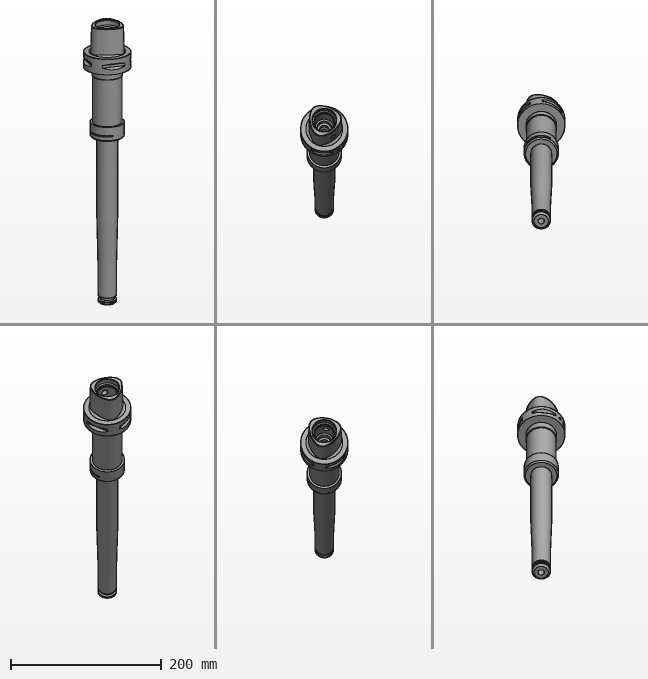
import cadquery as cq
import math

total_height = 393.5
shank_height = 38.0
flange_height = 22.0
flange_top = total_height - shank_height
flange_bottom = flange_top - flange_height
flange_middle = flange_top - flange_height / 2
flange_chamfer = 0.5
shoulder_bottom = 321.5
shoulder_bevel_height = 0.8
nut_top = 255.8
nut_height = 20.5
nut_bottom = nut_top - nut_height
nut_chamfer = 2.0
taper_top = 121.0
taper_bottom = 50.8
neck_top = 10.2
pilot_chamfer = 0.8
neck_bottom = 6.5
tip_thread_top = 5.5
tip_thread_bottom = 2.8
tip_thread_middle = (tip_thread_top + tip_thread_bottom) / 2

nut_slot_bottom = 242.5
nut_slot_height = 1.5
nut_slot_depth = 0.5
nut_slot_angle = 92

flange_diameter = 63.0
shoulder_diameter = 41.0
sleeve_diameter = 39.5
nut_diameter = 45.5
stem_diameter = 28.0
pilot_diameter = 24.8
neck_diameter = 19.5
thread_root_diameter = 23.5
tip_diameter = 19.0

flank_radius = 35.0
flank_offset = 14.5
lobe_offset = 11.0
lobe_radius = flank_radius - math.sqrt(
    flank_offset**2 + flank_offset * lobe_offset + lobe_offset**2
)
lobe_count = 3
lobe_spacing = 360 / lobe_count
flank_to_lobe = lobe_spacing / 2
shank_taper = math.degrees(math.atan(1 / 40))
shank_top_chamfer = 0.8
flare_bottom_diameter = 48.8
flare_top_diameter = 40.0
flare_height = 2.5

bore_mouth_diameter = 33.0
bore_mouth_chamfer = 0.8
bore_entry_diameter = 32.0
bore_entry_depth = 7.0
bore_cone_depth = 8.5
bore_steps = [(28.0, 11.5), (25.0, 35.5), (19.5, 43.3), (13.0, 51.0)]
through_diameter = 8.3

clamp_hole_diameter = 8.3
clamp_hole_drop = 22.0
index_hole_diameter = 4.0
index_hole_depth = 3.0

groove_count = 4
groove_first_angle = 45
groove_floor_distance = 27.0
groove_floor_width = 3.5
groove_side_angle = 30
groove_overshoot = 2.0


def polar(radius, angle, start=(0.0, 0.0)):
    """Point at the given radius and angle in degrees around start."""
    turn = math.radians(angle)
    return start[0] + radius * math.cos(turn), start[1] + radius * math.sin(turn)


def turned(points):
    """Solid of revolution about Z from (diameter, height) points."""
    outline = [(diameter / 2, height) for diameter, height in points]
    return cq.Workplane("XZ").polyline(outline).close().revolve(360, (0, 0), (0, 1))


def make_body():
    """Turned outside from the tip to the flared foot of the shank."""
    return turned([
        (0, 0),
        (tip_diameter, 0),
        (pilot_diameter, tip_thread_bottom),
        (thread_root_diameter, tip_thread_middle),
        (pilot_diameter, tip_thread_top),
        (neck_diameter, neck_bottom),
        (neck_diameter, neck_top),
        (pilot_diameter - 2 * pilot_chamfer, neck_top),
        (pilot_diameter, neck_top + pilot_chamfer),
        (pilot_diameter, taper_bottom),
        (stem_diameter, taper_top),
        (stem_diameter, nut_bottom),
        (nut_diameter - 2 * nut_chamfer, nut_bottom),
        (nut_diameter, nut_bottom + nut_chamfer),
        (nut_diameter, nut_top),
        (sleeve_diameter, nut_top),
        (sleeve_diameter, shoulder_bottom),
        (shoulder_diameter, shoulder_bottom + shoulder_bevel_height),
        (shoulder_diameter, flange_bottom),
        (flange_diameter, flange_bottom),
        (flange_diameter, flange_top - flange_chamfer),
        (flange_diameter - 2 * flange_chamfer, flange_top),
        (flare_bottom_diameter, flange_top),
        (flare_top_diameter, flange_top + flare_height),
        (0, flange_top + flare_height),
    ])


def make_shank():
    """Tapered three-lobed polygon with one lobe on +X and one flank on -X."""
    half_flank = math.degrees(math.atan2(
        lobe_offset * math.sin(math.radians(flank_to_lobe)),
        flank_offset + lobe_offset * math.cos(math.radians(flank_to_lobe)),
    ))

    def flank_point(flank_angle, swing):
        centre = polar(flank_offset, flank_angle + 180)
        return polar(flank_radius, flank_angle + swing, centre)

    outline = cq.Workplane("XY", origin=(0, 0, flange_top))
    outline = outline.moveTo(*flank_point(flank_to_lobe, -half_flank))
    for flank in range(lobe_count):
        flank_angle = flank_to_lobe + flank * lobe_spacing
        lobe_crest = polar(lobe_offset + lobe_radius, flank_angle + flank_to_lobe)
        outline = outline.threePointArc(
            flank_point(flank_angle, 0), flank_point(flank_angle, half_flank)
        )
        next_flank_start = flank_point(flank_angle + lobe_spacing, -half_flank)
        outline = outline.threePointArc(lobe_crest, next_flank_start)
    shank = outline.close().extrude(shank_height, taper=shank_taper)
    return shank.faces(">Z").chamfer(shank_top_chamfer)


def make_bore():
    """Stepped bore open at the top, with a narrow hole through to the tip."""
    points = [
        (0, total_height),
        (bore_mouth_diameter, total_height),
        (bore_entry_diameter, total_height - bore_mouth_chamfer),
        (bore_entry_diameter, total_height - bore_entry_depth),
        (bore_steps[0][0], total_height - bore_cone_depth),
    ]
    for step, (diameter, depth) in enumerate(bore_steps):
        if step > 0:
            points.append((diameter, points[-1][1]))
        points.append((diameter, total_height - depth))
    points += [(through_diameter, points[-1][1]), (through_diameter, 0), (0, 0)]
    return turned(points)


def side_hole(diameter, height, start, end):
    """Radial cylinder on the -X side between two distances from the axis."""
    plane = cq.Workplane("YZ", origin=(-end, 0, height))
    return plane.circle(diameter / 2).extrude(end - start)


def make_groove(angle):
    """Straight V groove with a flat floor, facing the given angle."""
    outer = flange_diameter / 2 + groove_overshoot
    floor = groove_floor_width / 2
    mouth = floor + (outer - groove_floor_distance) * math.tan(math.radians(groove_side_angle))
    outline = [
        (groove_floor_distance, -floor),
        (outer, -mouth),
        (outer, mouth),
        (groove_floor_distance, floor),
    ]
    plane = cq.Workplane("XZ", origin=(0, 0, flange_middle))
    groove = plane.polyline(outline).close().extrude(flange_diameter / 2, both=True)
    return groove.rotate((0, 0, 0), (0, 0, 1), angle)


def make_nut_slot():
    """Shallow arc slot in the nut, centred on its -Y side."""
    floor_radius = nut_diameter / 2 - nut_slot_depth
    ring = cq.Workplane("XY", origin=(0, 0, nut_slot_bottom))
    ring = ring.circle(nut_diameter / 2).circle(floor_radius).extrude(nut_slot_height)
    corners = [(0, 0)]
    for side in (-1, 1):
        corners.append(polar(nut_diameter, -90 + side * nut_slot_angle / 2))
    wedge = cq.Workplane("XY", origin=(0, 0, nut_slot_bottom))
    wedge = wedge.polyline(corners).close().extrude(nut_slot_height)
    return ring.intersect(wedge)


flange_radius = flange_diameter / 2

result = make_body().union(make_shank()).cut(make_bore())
result = result.cut(
    side_hole(clamp_hole_diameter, total_height - clamp_hole_drop, 0, flange_radius)
)
result = result.cut(
    side_hole(
        index_hole_diameter, flange_middle, flange_radius - index_hole_depth, flange_radius
    )
)
for groove_number in range(groove_count):
    groove_angle = groove_first_angle + groove_number * 360 / groove_count
    result = result.cut(make_groove(groove_angle))
result = result.cut(make_nut_slot())